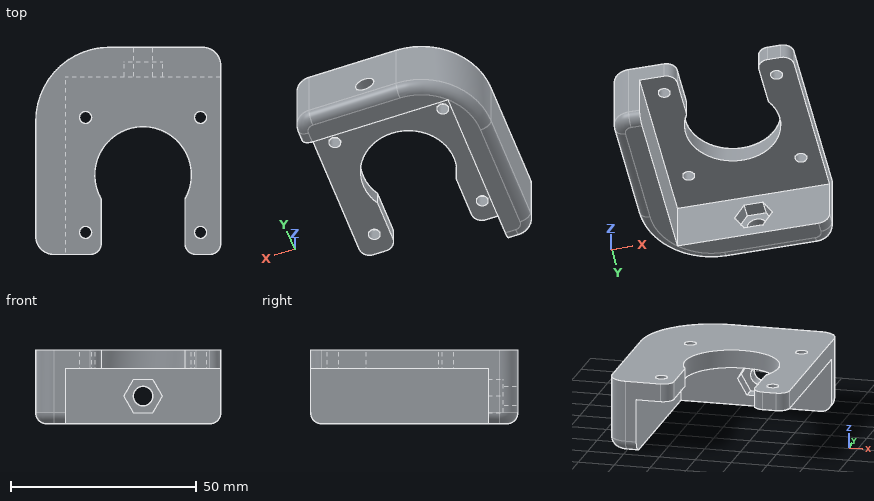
import cadquery as cq

length = 56.0
width = 50.0
height = 20.0
plate_thickness = 5.0
wall_height = height - plate_thickness

large_corner_radius = 20.0
corner_radius = 5.0
arm_radius = 3.0
bottom_fillet = 3.0

side_wall = 8.0
bay_width = width - side_wall
back_wall = side_wall
bay_depth = length - back_wall

center_x = side_wall + bay_width / 2
center_y = 21.5
opening_diameter = 26.0
slot_width = 22.5

mount_spacing = 31.0
mount_diameter = 3.2

bolt_diameter = 5.2
bolt_z = wall_height / 2
nut_corner_diameter = 10.4
nut_depth = back_wall / 2


def block(x_size, y_size, z_size):
    """Box with its lower front left corner at the origin."""
    return cq.Workplane("XY").box(x_size, y_size, z_size, centered=False)


def vertical_edge_at(x, y):
    """Selector for the upright edge that passes through x, y."""
    return cq.selectors.NearestToPointSelector((x, y, height / 2))


def make_outer_block():
    """Full-height block with rounded uprights and a rounded bottom rim."""
    body = block(width, length, height)
    body = body.edges(vertical_edge_at(0, length)).fillet(large_corner_radius)
    body = body.edges(vertical_edge_at(0, 0)).fillet(corner_radius)
    body = body.edges(vertical_edge_at(width, length)).fillet(corner_radius)
    body = body.edges(vertical_edge_at(width, 0)).fillet(arm_radius)
    return body.faces("<Z").edges().fillet(bottom_fillet)


def cut_bay(body):
    bay = block(bay_width, bay_depth, wall_height).translate((side_wall, 0, 0))
    return body.cut(bay)


def cut_opening(body):
    """Cut the round opening and its slot, then round the slot mouth."""
    circle = cq.Workplane("XY").circle(opening_diameter / 2).extrude(height)
    circle = circle.translate((center_x, center_y, 0))
    slot_left = center_x - slot_width / 2
    slot_right = center_x + slot_width / 2
    slot = block(slot_width, center_y, height).translate((slot_left, 0, 0))
    body = body.cut(circle.union(slot))
    plate_middle = height - plate_thickness / 2
    for x in (slot_left, slot_right):
        mouth_edge = cq.selectors.NearestToPointSelector((x, 0, plate_middle))
        body = body.edges("|Z").edges(mouth_edge).fillet(arm_radius)
    return body


def cut_mount_holes(body):
    holes = (
        cq.Workplane("XY")
        .workplane(offset=wall_height)
        .center(center_x, center_y)
        .rect(mount_spacing, mount_spacing, forConstruction=True)
        .vertices()
        .circle(mount_diameter / 2)
        .extrude(plate_thickness)
    )
    return body.cut(holes)


def cut_bolt_hole(body):
    """Bolt hole through the back wall, with the nut recess on the bay side."""
    bay_face = cq.Workplane("XZ", origin=(center_x, bay_depth, bolt_z))
    bolt = bay_face.circle(bolt_diameter / 2).extrude(-back_wall)
    nut = bay_face.polygon(6, nut_corner_diameter).extrude(-nut_depth)
    return body.cut(bolt).cut(nut)


result = make_outer_block()
result = cut_bay(result)
result = cut_opening(result)
result = cut_mount_holes(result)
result = cut_bolt_hole(result)